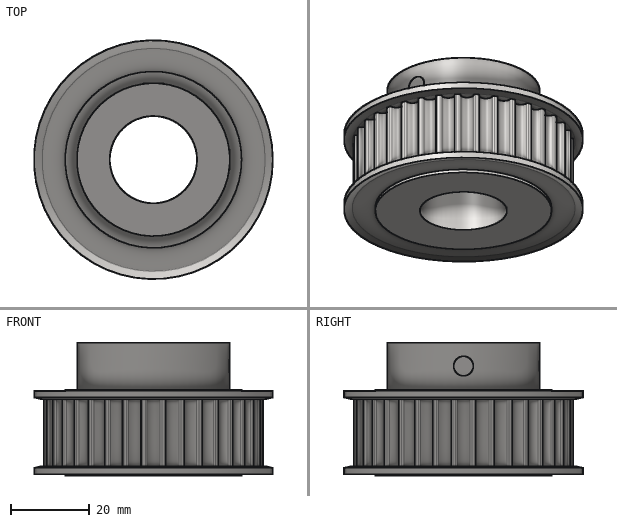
import cadquery as cq
import math

tooth_count = 36
belt_pitch = 5.0
pitch_line_offset = 0.57
tip_radius = tooth_count * belt_pitch / (2 * math.pi) - pitch_line_offset
groove_depth = 2.06
groove_radius = 1.65
tip_rounding = 0.43

core_height = 22.0
hub_length = 12.0
hub_radius = 19.5
bore_radius = 11.1
seat_radius = 22.5
total_height = core_height + hub_length

flange_radius = 30.5
bend_radius = 28.45
bend_rise = 0.5
flange_thickness = 1.65
seat_step = 0.85
belt_bottom = seat_step + flange_thickness
belt_top = core_height - belt_bottom

screw_diameter = 5.0
screw_length = 5.0
screw_height = core_height + hub_length / 2
screw_directions = [cq.Vector(1, 0, 0), cq.Vector(0, 1, 0)]


def polar(radius, angle):
    return (radius * math.cos(angle), radius * math.sin(angle))


def tooth_outline():
    """Closed outline of the toothed rim, groove after groove."""
    groove_centre = tip_radius - groove_depth + groove_radius
    rounding_centre = tip_radius - tip_rounding
    centre_distance = groove_radius + tip_rounding

    rounding_angle = math.acos(
        (groove_centre**2 + rounding_centre**2 - centre_distance**2)
        / (2 * groove_centre * rounding_centre)
    )
    centre_x, centre_y = polar(rounding_centre, rounding_angle)
    share = groove_radius / centre_distance
    touch_x = groove_centre + share * (centre_x - groove_centre)
    touch_y = share * centre_y
    touch_radius = math.hypot(touch_x, touch_y)
    touch_angle = math.atan2(touch_y, touch_x)

    tip_direction = rounding_angle
    touch_direction = math.atan2(touch_y - centre_y, touch_x - centre_x) % (2 * math.pi)
    mid_direction = (tip_direction + touch_direction - 2 * math.pi) / 2
    mid_x = centre_x + tip_rounding * math.cos(mid_direction)
    mid_y = centre_y + tip_rounding * math.sin(mid_direction)
    mid_radius = math.hypot(mid_x, mid_y)
    mid_angle = math.atan2(mid_y, mid_x)

    step = 2 * math.pi / tooth_count
    first_groove = -math.pi / 2
    outline = cq.Workplane("XY").moveTo(*polar(tip_radius, first_groove - rounding_angle))
    for index in range(tooth_count):
        groove = first_groove + index * step
        outline = (
            outline
            .threePointArc(polar(mid_radius, groove - mid_angle), polar(touch_radius, groove - touch_angle))
            .threePointArc(polar(tip_radius - groove_depth, groove), polar(touch_radius, groove + touch_angle))
            .threePointArc(polar(mid_radius, groove + mid_angle), polar(tip_radius, groove + rounding_angle))
            .threePointArc(
                polar(tip_radius, groove + step / 2),
                polar(tip_radius, groove + step - rounding_angle),
            )
        )
    return outline.close()


def screw_cylinder(direction, start, length):
    """Cylinder of the screw diameter running outward along a hub radius."""
    base = direction * start + cq.Vector(0, 0, screw_height)
    return cq.Solid.makeCylinder(screw_diameter / 2, length, base, direction)


def make_core():
    rim = tooth_outline().extrude(belt_top - belt_bottom).translate((0, 0, belt_bottom))
    seats = cq.Workplane("XY").circle(seat_radius).extrude(core_height)
    hub = cq.Workplane("XY").circle(hub_radius).extrude(total_height)
    bore = cq.Workplane("XY").circle(bore_radius).extrude(total_height)
    core = rim.union(seats).union(hub).cut(bore)
    for direction in screw_directions:
        core = core.cut(cq.Workplane(screw_cylinder(direction, 0, flange_radius)))
    return core


def make_lower_flange():
    flat_bottom = seat_step
    flat_top = belt_bottom
    profile = [
        (seat_radius, flat_bottom),
        (bend_radius, flat_bottom),
        (flange_radius, flat_bottom - bend_rise),
        (flange_radius, flat_top - bend_rise),
        (bend_radius, flat_top),
        (seat_radius, flat_top),
    ]
    return cq.Workplane("XZ").polyline(profile).close().revolve(360, (0, 0, 0), (0, 1, 0))


def make_set_screw(direction):
    """Set screw with its outer end level with the outside of the hub."""
    return screw_cylinder(direction, hub_radius - screw_length, screw_length)


core = make_core()
lower_flange = make_lower_flange()
upper_flange = lower_flange.mirror("XY").translate((0, 0, core_height))
set_screws = [make_set_screw(direction) for direction in screw_directions]

result = cq.Compound.makeCompound([core.val(), lower_flange.val(), upper_flange.val(), *set_screws])